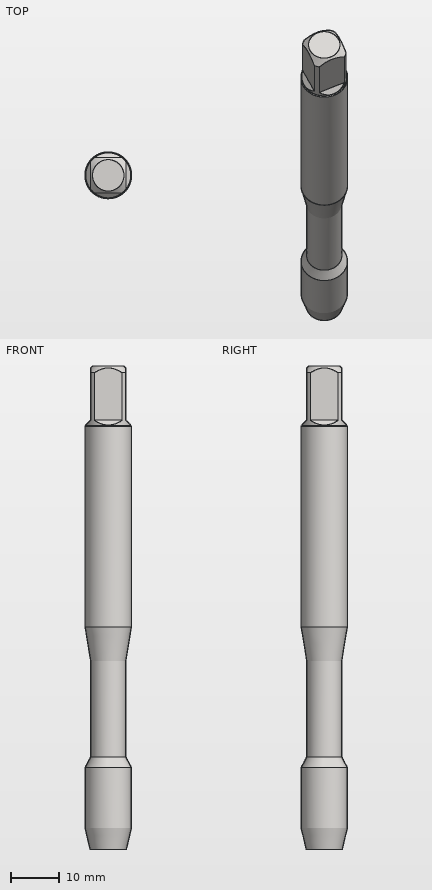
import cadquery as cq

total_length = 100.1

head_diameter = 9.6
tip_diameter = 7.5
tip_taper_top = 4.4
head_cylinder_top = 17.0
head_cone_top = 18.7
head_cone_top_diameter = 7.8
head_top = 19.2

neck_diameter = 7.3
neck_top = 39.0
shank_diameter = 9.7
flare_top_diameter = 9.6
flare_top = 46.0
shank_top = 87.6

drive_corner_diameter = 9.3
drive_width = 7.3
drive_top_diameter = 6.5
flat_bottom = 88.9

shank_radius = shank_diameter / 2
corner_radius = drive_corner_diameter / 2
drive_top_radius = drive_top_diameter / 2
half_width = drive_width / 2
neck_radius = neck_diameter / 2


def revolve_profile(points):
    """Revolve an outline of (radius, height) points about the Z axis."""
    return cq.Workplane("XZ").polyline(points).close().revolve(360, (0, 0), (0, 1))


def make_head():
    """Threaded head with a tapered tip below and a two-step conical shoulder above."""
    head_radius = head_diameter / 2
    return revolve_profile([
        (0, 0),
        (tip_diameter / 2, 0),
        (head_radius, tip_taper_top),
        (head_radius, head_cylinder_top),
        (head_cone_top_diameter / 2, head_cone_top),
        (neck_radius, head_top),
        (0, head_top),
    ])


def make_flat_cutter():
    """Material removed for the +X flat, with a 45 degree run-out at its lower end."""
    cutter_depth = shank_diameter
    outline = [
        (half_width, flat_bottom),
        (half_width + cutter_depth, flat_bottom - cutter_depth),
        (half_width + cutter_depth, total_length),
        (half_width, total_length),
    ]
    return cq.Workplane("XZ").polyline(outline).close().extrude(shank_diameter, both=True)


def make_shank():
    """Neck, flare and cylindrical shank ending in a square drive."""
    shank = revolve_profile([
        (0, head_top),
        (neck_radius, head_top),
        (neck_radius, neck_top),
        (flare_top_diameter / 2, flare_top),
        (shank_radius, flare_top),
        (shank_radius, shank_top),
        (corner_radius, shank_top + shank_radius - corner_radius),
        (corner_radius, total_length - (corner_radius - drive_top_radius)),
        (drive_top_radius, total_length),
        (0, total_length),
    ])
    flat_cutter = make_flat_cutter()
    for angle in (0, 90, 180, 270):
        shank = shank.cut(flat_cutter.rotate((0, 0, 0), (0, 0, 1), angle))
    return shank


head = make_head()
shank = make_shank()

result = cq.Compound.makeCompound([head.val(), shank.val()])